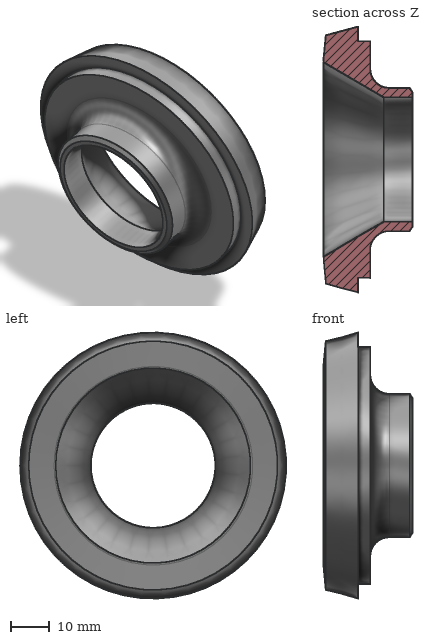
import cadquery as cq
import math

total_length = 23.0
rim_front_x = 0.6
rim_back_x = 9.0
step_back_x = 12.1
throat_x = 15.55

flange_radius = 34.25
step_radius = 61.0 / 2
neck_radius = 37.0 / 2
bore_radius = 32.0 / 2
lip_radius = 25.55
mouth_radius = 25.1

rim_taper_angle = 15.0
neck_fillet = 4.8
end_chamfer_length = 0.8
end_chamfer_depth = 1.2

rim_taper = (rim_back_x - rim_front_x) * math.tan(math.radians(rim_taper_angle))
rim_front_radius = flange_radius - rim_taper

fillet_end_x = step_back_x + neck_fillet
fillet_start_radius = neck_radius + neck_fillet
fillet_offset = neck_fillet * math.sqrt(0.5)
fillet_mid = (fillet_end_x - fillet_offset, fillet_start_radius - fillet_offset)

profile = (
    cq.Workplane("XY")
    .moveTo(0, mouth_radius)
    .lineTo(0, lip_radius)
    .lineTo(rim_front_x, rim_front_radius)
    .lineTo(rim_back_x, flange_radius)
    .lineTo(rim_back_x, step_radius)
    .lineTo(step_back_x, step_radius)
    .lineTo(step_back_x, fillet_start_radius)
    .threePointArc(fillet_mid, (fillet_end_x, neck_radius))
    .lineTo(total_length - end_chamfer_length, neck_radius)
    .lineTo(total_length, neck_radius - end_chamfer_depth)
    .lineTo(total_length, bore_radius)
    .lineTo(throat_x, bore_radius)
    .close()
)

result = profile.revolve(360, (0, 0, 0), (1, 0, 0))